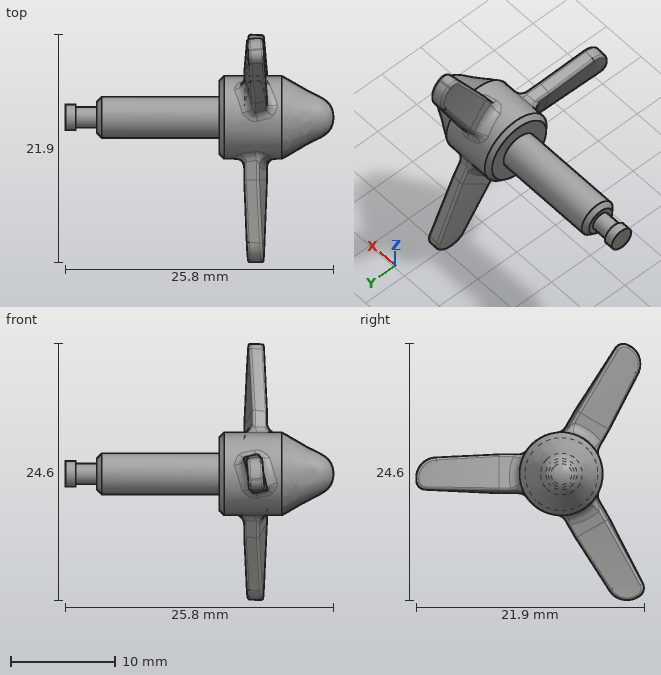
import cadquery as cq
import math

pin_head_diameter = 2.5
pin_head_length = 1.0
neck_diameter = 2.0
neck_length = 2.0
shaft_diameter = 4.0
shaft_length = 11.75
hub_diameter = 8.0
hub_length = 6.0
chamfer = 0.5

nose_length = 5.0
nose_base_angle = math.radians(28)
nose_mid_length = 3.0
nose_mid_radius = 2.32

blade_count = 3
blade_x = 3.51
blade_thickness = 1.5
blade_reach = 13.94
twist_start_radius = 6.0
blade_start_radius = 2.5
root_width = 3.62
root_tilt = 14.0
tip_width = 2.97
tip_tilt = 2.0
tip_large_round = 2.0
tip_small_round = 0.95
blade_edge_round = 0.25
hub_blend_radius = 1.0

seam_tolerance = 0.01


def make_body():
    """Pin head, neck, shaft, hub and nose as one turned solid."""
    shaft_start = -shaft_length
    neck_start = shaft_start - neck_length
    pin_start = neck_start - pin_head_length
    head_radius = pin_head_diameter / 2
    neck_radius = neck_diameter / 2
    shaft_radius = shaft_diameter / 2
    hub_radius = hub_diameter / 2
    nose_tip = (hub_length + nose_length, 0)
    nose_middle = (hub_length + nose_mid_length, nose_mid_radius)
    base_direction = (math.cos(nose_base_angle), -math.sin(nose_base_angle))
    tip_direction = (0, -1)
    profile = (
        cq.Workplane("XY")
        .moveTo(pin_start, 0)
        .lineTo(pin_start, head_radius)
        .lineTo(neck_start, head_radius)
        .lineTo(neck_start, neck_radius)
        .lineTo(shaft_start, neck_radius)
        .lineTo(shaft_start, shaft_radius - chamfer)
        .lineTo(shaft_start + chamfer, shaft_radius)
        .lineTo(0, shaft_radius)
        .lineTo(0, hub_radius - chamfer)
        .lineTo(chamfer, hub_radius)
        .lineTo(hub_length, hub_radius)
        .spline([nose_middle, nose_tip], tangents=[base_direction, tip_direction], includeCurrent=True)
        .close()
    )
    return profile.revolve(360, (0, 0, 0), (1, 0, 0))


def blade_section(radius, width, tilt):
    """Rectangle facing -Y at the given radius; the tilt leans its +Z end toward -X."""
    plane = cq.Plane(origin=(blade_x, -radius, 0), xDir=(1, 0, 0), normal=(0, -1, 0))
    return cq.Workplane(plane).transformed(rotate=(0, 0, tilt)).rect(blade_thickness, width)


def is_rim_edge(edge):
    """True for the long edges around a blade's two flat faces, false for those across it."""
    center = edge.Center()
    radius = -center.y
    twist_share = max(0, (radius - twist_start_radius) / (blade_reach - twist_start_radius))
    tilt = math.radians(root_tilt + twist_share * (tip_tilt - root_tilt))
    offset = (center.x - blade_x) * math.cos(tilt) + center.z * math.sin(tilt)
    is_cross_seam = abs(radius - twist_start_radius) < seam_tolerance
    is_inner_end = abs(radius - blade_start_radius) < seam_tolerance
    is_on_flat_face = abs(offset) > blade_thickness / 4
    return is_on_flat_face and not is_cross_seam and not is_inner_end


def make_blade():
    """One blade, reaching out along -Y."""
    root = blade_section(twist_start_radius, root_width, root_tilt)
    root_bar = root.extrude(blade_start_radius - twist_start_radius)
    root_wire = root.wires().val()
    tip_wire = blade_section(blade_reach, tip_width, tip_tilt).wires().val()
    twisted = cq.Workplane(cq.Solid.makeLoft([root_wire, tip_wire], True))

    twisted = twisted.faces("<Y").edges(">Z").fillet(tip_large_round)
    twisted = twisted.faces("<Y").edges("<Z").fillet(tip_small_round)

    blade = root_bar.union(twisted)
    rim_edges = [edge for edge in blade.edges().vals() if is_rim_edge(edge)]
    return blade.newObject(rim_edges).fillet(blade_edge_round)


def blend_blades(part):
    """Round the corner where each blade leaves the hub's cylinder."""
    hub_radius = hub_diameter / 2
    joints = []
    for edge in part.edges().vals():
        box = edge.BoundingBox()
        inside_hub = box.xmin > chamfer + seam_tolerance and box.xmax < hub_length - seam_tolerance
        middle = edge.positionAt(0.5)
        on_hub = abs(math.hypot(middle.y, middle.z) - hub_radius) < seam_tolerance
        if inside_hub and on_hub:
            joints.append(edge)
    return part.newObject(joints).fillet(hub_blend_radius)


result = make_body()
blade = make_blade()
for index in range(blade_count):
    angle = index * 360 / blade_count
    result = result.union(blade.rotate((0, 0, 0), (1, 0, 0), angle))
result = blend_blades(result)